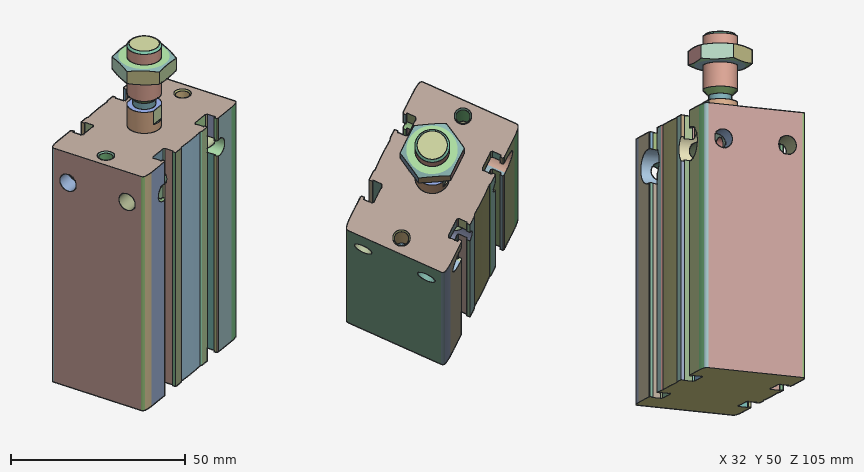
import cadquery as cq
import math

HOUSING_WIDTH = 32.0
HOUSING_DEPTH = 50.0
HOUSING_HEIGHT = 78.0
HALF_WIDTH = HOUSING_WIDTH / 2
HALF_DEPTH = HOUSING_DEPTH / 2

CORNER_ARC_RADIUS = 13.0
CORNER_ARC_START = 21.4
CORNER_FILLET = 1.0

PANEL_OUTER = 5.7
PANEL_INNER = 4.9
PANEL_DROP = 0.25
PANEL_BULGE = 0.15

SLOT_MOUTH_INNER = 8.5
SLOT_MOUTH_OUTER = 13.85
SLOT_CAVITY_INNER = 8.1
SLOT_CAVITY_OUTER = 14.5
SLOT_LIP = 1.1
SLOT_DEPTH = 4.2
SLOT_FLOOR_CHAMFER = 0.4
MOUTH_CHAMFER_WIDTH = 0.5
MOUTH_CHAMFER_DROP = 0.2

MOUNT_DIAMETER = 5.5
MOUNT_HEIGHT = HOUSING_HEIGHT - 10.0
SIDE_MOUNT_Y = 15.0
FRONT_MOUNT_X = 10.0

POCKET_WIDTH = 10.0
POCKET_CENTRE_SPACING = 3.0
POCKET_OUTER_CENTRE = 15.0
POCKET_DEPTH = 9.0

TAP_DIAMETER = 4.13
TAP_MOUTH_DIAMETER = 5.0
TAP_Y = 20.5
TAP_DEPTH = 10.0
DRILL_POINT_ANGLE = 118.0

ROD_DIAMETER = 10.0
ROD_LENGTH = 27.0
ROD_COLLAR_HEIGHT = 7.0
ROD_NECK_DIAMETER = 6.67
ROD_NECK_HEIGHT = 2.0
ROD_TIP_DIAMETER = 8.65
FLAT_WIDTH = 9.0
FLAT_START = 2.5

HEX_SIDES = 6
HEX_HALF_ANGLE = 180 / HEX_SIDES
NUT_ACROSS_FLATS = 16.0
NUT_THICKNESS = 5.0
NUT_HEIGHT = 17.8
NUT_FACE_DIAMETER = 14.7
NUT_CHAMFER_ANGLE = 15.0


def side_outline_points(x_sign, y_sign):
    """Corner points of one quarter outline, from the slot mouth chamfer to the bulged panel."""
    profile = [
        (HALF_WIDTH, SLOT_MOUTH_OUTER + MOUTH_CHAMFER_WIDTH),
        (HALF_WIDTH - MOUTH_CHAMFER_DROP, SLOT_MOUTH_OUTER),
        (HALF_WIDTH - SLOT_LIP, SLOT_MOUTH_OUTER),
        (HALF_WIDTH - SLOT_LIP, SLOT_CAVITY_OUTER),
        (HALF_WIDTH - SLOT_DEPTH + SLOT_FLOOR_CHAMFER, SLOT_CAVITY_OUTER),
        (HALF_WIDTH - SLOT_DEPTH, SLOT_CAVITY_OUTER - SLOT_FLOOR_CHAMFER),
        (HALF_WIDTH - SLOT_DEPTH, SLOT_CAVITY_INNER + SLOT_FLOOR_CHAMFER),
        (HALF_WIDTH - SLOT_DEPTH + SLOT_FLOOR_CHAMFER, SLOT_CAVITY_INNER),
        (HALF_WIDTH - SLOT_LIP, SLOT_CAVITY_INNER),
        (HALF_WIDTH - SLOT_LIP, SLOT_MOUTH_INNER),
        (HALF_WIDTH, SLOT_MOUTH_INNER),
        (HALF_WIDTH, PANEL_OUTER),
        (HALF_WIDTH - PANEL_DROP, PANEL_INNER),
    ]
    return [(x_sign * x, y_sign * y) for x, y in profile]


def housing_blank():
    """Extruded housing profile with sensor slots, bulged panels and rounded corners."""
    arc_angle = math.asin((HALF_DEPTH - CORNER_ARC_START) / CORNER_ARC_RADIUS)
    corner_x = HALF_WIDTH - CORNER_ARC_RADIUS * (1 - math.cos(arc_angle))
    panel_mid = HALF_WIDTH - PANEL_DROP + PANEL_BULGE

    outline = cq.Workplane("XY").moveTo(-corner_x, HALF_DEPTH).lineTo(corner_x, HALF_DEPTH)
    for side in (1, -1):
        outline = outline.radiusArc((side * HALF_WIDTH, side * CORNER_ARC_START), CORNER_ARC_RADIUS)
        for point in side_outline_points(side, side):
            outline = outline.lineTo(*point)
        opposite = side_outline_points(side, -side)[::-1]
        outline = outline.threePointArc((side * panel_mid, 0), opposite[0])
        for point in opposite[1:]:
            outline = outline.lineTo(*point)
        outline = outline.lineTo(side * HALF_WIDTH, -side * CORNER_ARC_START)
        outline = outline.radiusArc((side * corner_x, -side * HALF_DEPTH), CORNER_ARC_RADIUS)
        outline = outline.lineTo(-side * corner_x, -side * HALF_DEPTH)
    blank = outline.close().extrude(HOUSING_HEIGHT)

    front_and_back = blank.faces("<Y or >Y")
    return front_and_back.edges("|Z").fillet(CORNER_FILLET)


def cut_mounting_holes(body):
    """Crossing through holes along X and Y, with oblong counterbores on the -X face."""
    side_holes = (
        cq.Workplane("YZ", origin=(-HALF_WIDTH, 0, MOUNT_HEIGHT))
        .pushPoints([(-SIDE_MOUNT_Y, 0), (SIDE_MOUNT_Y, 0)])
        .circle(MOUNT_DIAMETER / 2)
        .extrude(HOUSING_WIDTH)
    )
    pocket_y = POCKET_OUTER_CENTRE - POCKET_CENTRE_SPACING / 2
    pockets = (
        cq.Workplane("YZ", origin=(-HALF_WIDTH, 0, MOUNT_HEIGHT))
        .pushPoints([(-pocket_y, 0), (pocket_y, 0)])
        .slot2D(POCKET_CENTRE_SPACING + POCKET_WIDTH, POCKET_WIDTH)
        .extrude(POCKET_DEPTH)
    )
    front_holes = (
        cq.Workplane("XZ", origin=(0, HALF_DEPTH, MOUNT_HEIGHT))
        .pushPoints([(-FRONT_MOUNT_X, 0), (FRONT_MOUNT_X, 0)])
        .circle(MOUNT_DIAMETER / 2)
        .extrude(HOUSING_DEPTH)
    )
    return body.cut(side_holes).cut(pockets).cut(front_holes)


def cut_tapped_holes(body):
    """Blind drilled holes with countersunk mouths and conical bottoms in the top face."""
    radius = TAP_DIAMETER / 2
    mouth_radius = TAP_MOUTH_DIAMETER / 2
    mouth_depth = mouth_radius - radius
    point_length = radius / math.tan(math.radians(DRILL_POINT_ANGLE / 2))
    drill = (
        cq.Workplane("XZ")
        .polyline([
            (0, 0),
            (mouth_radius, 0),
            (radius, -mouth_depth),
            (radius, -TAP_DEPTH),
            (0, -TAP_DEPTH - point_length),
        ])
        .close()
        .revolve(360, (0, 0, 0), (0, 1, 0))
    )
    for y in (-TAP_Y, TAP_Y):
        body = body.cut(drill.translate((0, y, HOUSING_HEIGHT)))
    return body


def make_housing():
    return cut_tapped_holes(cut_mounting_holes(housing_blank()))


def make_rod():
    """Piston rod with a flatted collar, an undercut neck and a chamfered tip."""
    radius = ROD_DIAMETER / 2
    neck_radius = ROD_NECK_DIAMETER / 2
    tip_radius = ROD_TIP_DIAMETER / 2
    neck_top = ROD_COLLAR_HEIGHT + ROD_NECK_HEIGHT
    rod = (
        cq.Workplane("XZ")
        .polyline([
            (0, 0),
            (radius, 0),
            (radius, ROD_COLLAR_HEIGHT),
            (neck_radius, ROD_COLLAR_HEIGHT),
            (neck_radius, neck_top),
            (radius, neck_top + radius - neck_radius),
            (radius, ROD_LENGTH - (radius - tip_radius)),
            (tip_radius, ROD_LENGTH),
            (0, ROD_LENGTH),
        ])
        .close()
        .revolve(360, (0, 0, 0), (0, 1, 0))
    )
    flat_depth = (ROD_DIAMETER - FLAT_WIDTH) / 2
    flat_centre = (ROD_DIAMETER + FLAT_WIDTH) / 4
    wrench_flats = (
        cq.Workplane("XY", origin=(0, 0, FLAT_START))
        .pushPoints([(-flat_centre, 0), (flat_centre, 0)])
        .rect(flat_depth, ROD_DIAMETER)
        .extrude(ROD_COLLAR_HEIGHT - FLAT_START)
    )
    return rod.cut(wrench_flats).translate((0, 0, HOUSING_HEIGHT))


def make_nut():
    """Hexagon nut with flats facing X and both faces chamfered towards the corners."""
    across_corners = NUT_ACROSS_FLATS / math.cos(math.radians(HEX_HALF_ANGLE))
    corner_radius = across_corners / 2
    face_radius = NUT_FACE_DIAMETER / 2
    chamfer_drop = (corner_radius - face_radius) * math.tan(math.radians(NUT_CHAMFER_ANGLE))
    hexagon = (
        cq.Workplane("XY")
        .transformed(rotate=(0, 0, HEX_HALF_ANGLE))
        .polygon(HEX_SIDES, across_corners)
        .extrude(NUT_THICKNESS)
    )
    chamfer_envelope = (
        cq.Workplane("XZ")
        .polyline([
            (0, 0),
            (face_radius, 0),
            (corner_radius, chamfer_drop),
            (corner_radius, NUT_THICKNESS - chamfer_drop),
            (face_radius, NUT_THICKNESS),
            (0, NUT_THICKNESS),
        ])
        .close()
        .revolve(360, (0, 0, 0), (0, 1, 0))
    )
    bore = cq.Workplane("XY").circle(ROD_DIAMETER / 2).extrude(NUT_THICKNESS)
    nut = hexagon.intersect(chamfer_envelope).cut(bore)
    return nut.translate((0, 0, HOUSING_HEIGHT + NUT_HEIGHT))


housing = make_housing()
rod = make_rod()
nut = make_nut()
result = cq.Compound.makeCompound([housing.val(), rod.val(), nut.val()])